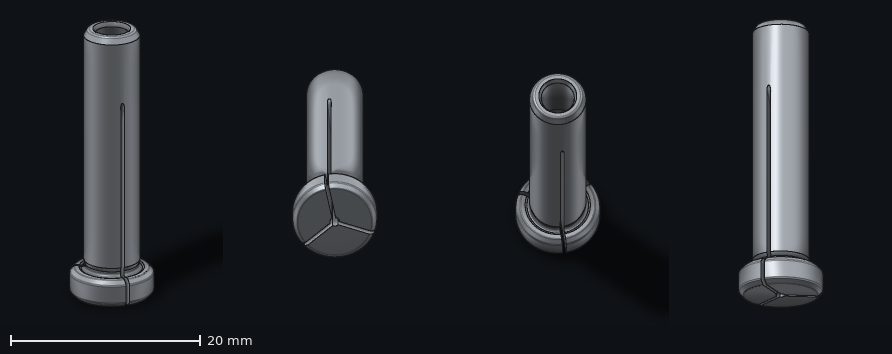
import cadquery as cq
import math

total_length = 30.0
head_radius = 4.475
head_height = 3.0
shank_radius = 3.0

head_chamfer = 0.5
rim_blend_radius = 0.25
face_blend_radius = 0.15

undercut_start = 0.95
undercut_taper_height = 0.45
undercut_depth = 0.15
undercut_fillet = 0.4
face_groove_depth = 0.1
face_groove_radius = 3.45

lead_in_length = 0.75
lead_in_angle = 30.0
lead_in_blend_radius = 0.3

bore_radius = 1.75
bore_depth = 7.0
countersink_width = 0.25
countersink_depth = 0.5
floor_cone_angle = 60.0
through_hole_radius = 0.5

slit_count = 3
slit_width = 0.4
slit_top = 22.55
slit_run_out_angle = 63.0


def head():
    """Disc at the bottom with softened chamfers on both rims."""
    disc = cq.Workplane("XY").circle(head_radius).extrude(head_height)
    disc = disc.faces("<Z or >Z").chamfer(head_chamfer)
    disc = disc.faces("<Z or >Z").edges().fillet(face_blend_radius)
    return disc.edges(cq.selectors.RadiusNthSelector(-1)).fillet(rim_blend_radius)


def shank():
    """Round pin with a rounded lead-in taper at its free end."""
    end_radius = shank_radius - lead_in_length * math.tan(math.radians(lead_in_angle))
    pin = (
        cq.Workplane("XZ")
        .lineTo(shank_radius, 0)
        .lineTo(shank_radius, total_length - lead_in_length)
        .lineTo(end_radius, total_length)
        .lineTo(0, total_length)
        .close()
        .revolve(360, (0, 0), (0, 1))
    )
    return pin.faces(">Z").edges().fillet(lead_in_blend_radius)


def undercut():
    """Ring removed from the foot of the shank and from the head face around it."""
    neck_radius = shank_radius - undercut_depth
    floor_height = head_height - face_groove_depth
    taper_top = head_height + undercut_start
    fillet_middle = undercut_fillet * (1 - math.sqrt(0.5))
    return (
        cq.Workplane("XZ")
        .moveTo(shank_radius, taper_top)
        .lineTo(neck_radius, taper_top - undercut_taper_height)
        .lineTo(neck_radius, floor_height + undercut_fillet)
        .threePointArc(
            (neck_radius + fillet_middle, floor_height + fillet_middle),
            (neck_radius + undercut_fillet, floor_height),
        )
        .lineTo(face_groove_radius, head_height)
        .lineTo(face_groove_radius, taper_top)
        .close()
        .revolve(360, (0, 0), (0, 1))
    )


def bore():
    """Countersunk blind bore with a conical floor and a small hole down to the bottom."""
    bore_floor = total_length - bore_depth
    half_cone_angle = math.radians(floor_cone_angle / 2)
    cone_height = (bore_radius - through_hole_radius) / math.tan(half_cone_angle)
    return (
        cq.Workplane("XZ")
        .lineTo(through_hole_radius, 0)
        .lineTo(through_hole_radius, bore_floor - cone_height)
        .lineTo(bore_radius, bore_floor)
        .lineTo(bore_radius, total_length - countersink_depth)
        .lineTo(bore_radius + countersink_width, total_length)
        .lineTo(0, total_length)
        .close()
        .revolve(360, (0, 0), (0, 1))
    )


def slit():
    """Slit along +X from the axis outward, with a sloping full-round end."""
    outer_reach = 2 * head_radius
    end_radius = slit_width / 2
    angle = math.radians(slit_run_out_angle)
    line_at_axis = slit_top - shank_radius * math.tan(angle) - end_radius / math.cos(angle)
    line_at_reach = line_at_axis + outer_reach * math.tan(angle)
    blade = (
        cq.Workplane("XZ")
        .lineTo(outer_reach, 0)
        .lineTo(outer_reach, line_at_reach)
        .lineTo(0, line_at_axis)
        .close()
        .extrude(end_radius, both=True)
    )
    slope_direction = cq.Vector(math.cos(angle), 0, math.sin(angle))
    slope_length = outer_reach / math.cos(angle)
    round_end = cq.Solid.makeCylinder(
        end_radius, slope_length, cq.Vector(0, 0, line_at_axis), slope_direction
    )
    return blade.union(cq.Workplane(round_end))


result = head().union(shank()).cut(undercut()).cut(bore())
for index in range(slit_count):
    angle = index * 360 / slit_count
    result = result.cut(slit().rotate((0, 0, 0), (0, 0, 1), angle))